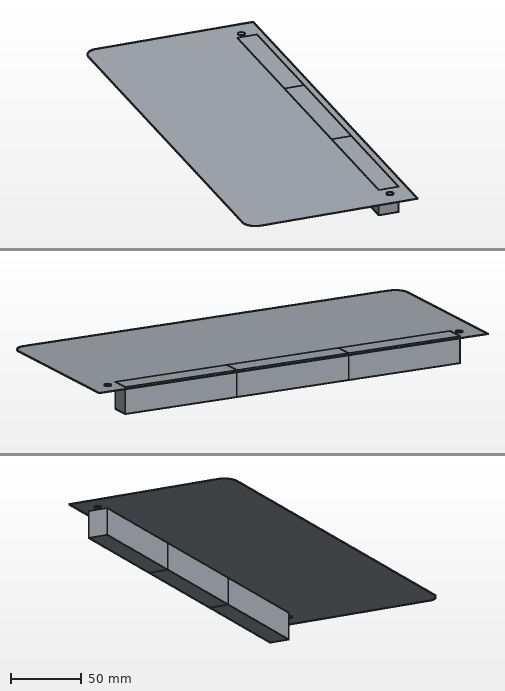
import cadquery as cq

PLATE_LENGTH = 314.0
PLATE_WIDTH = 130.0
PLATE_THICKNESS = 0.4
CORNER_RADIUS = 10.0

HOLE_DIAMETER = 5.0
HOLE_INSET = 15.0

OVERALL_HEIGHT = 20.5
BLOCK_COUNT = 3
BLOCK_LENGTH = 90.0
BLOCK_WIDTH = 15.0
BLOCK_HEIGHT = OVERALL_HEIGHT - PLATE_THICKNESS
ROW_LEFT_INSET = 19.8
ROW_REAR_INSET = 5.0


def make_plate():
    """Thin plate with rounded front corners and two through holes."""
    plate = cq.Workplane("XY").box(
        PLATE_LENGTH, PLATE_WIDTH, PLATE_THICKNESS, centered=False
    ).translate((0, -PLATE_WIDTH, 0))
    plate = plate.edges("|Z and <Y").fillet(CORNER_RADIUS)
    hole_centers = [
        (HOLE_INSET, -HOLE_INSET),
        (PLATE_LENGTH - HOLE_INSET, -HOLE_INSET),
    ]
    holes = (
        cq.Workplane("XY")
        .pushPoints(hole_centers)
        .circle(HOLE_DIAMETER / 2)
        .extrude(PLATE_THICKNESS)
    )
    return plate.cut(holes)


def make_block(index):
    """One block of the row, hanging from the underside of the plate."""
    left = ROW_LEFT_INSET + index * BLOCK_LENGTH
    rear = -ROW_REAR_INSET
    return cq.Workplane("XY").box(
        BLOCK_LENGTH, BLOCK_WIDTH, BLOCK_HEIGHT, centered=False
    ).translate((left, rear - BLOCK_WIDTH, -BLOCK_HEIGHT))


plate = make_plate()
blocks = [make_block(index) for index in range(BLOCK_COUNT)]

result = cq.Compound.makeCompound([plate.val(), *[block.val() for block in blocks]])